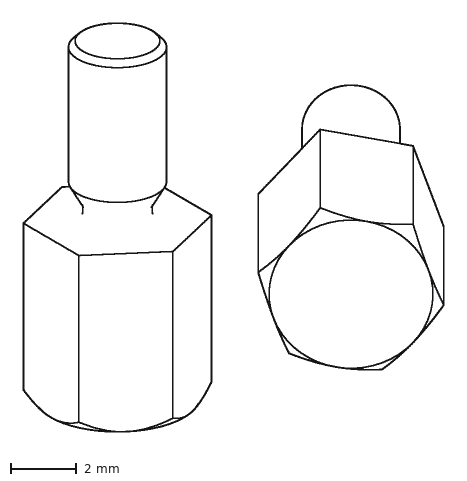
import cadquery as cq
import math

across_flats = 5.0
across_corners = across_flats / math.cos(math.radians(30))
body_height = 6.0
bottom_circle_radius = across_flats / 2

total_height = 12.0
stud_radius = 3.0 / 2
tip_chamfer = 0.2

neck_radius = 2.14 / 2
undercut_height = 1.26
undercut_angle = 30.0
fillet_radius = 0.2


def make_body():
    """Hexagonal prism with its bottom corners turned off at 45 degrees."""
    hexagon = cq.Workplane("XY").polygon(6, across_corners).extrude(body_height)
    corner_radius = across_corners / 2
    corner_cut = corner_radius - bottom_circle_radius
    turned_envelope = (
        cq.Workplane("XZ")
        .moveTo(0, 0)
        .lineTo(bottom_circle_radius, 0)
        .lineTo(corner_radius + corner_cut, 2 * corner_cut)
        .lineTo(corner_radius + corner_cut, body_height)
        .lineTo(0, body_height)
        .close()
        .revolve(360, (0, 0, 0), (0, 1, 0))
    )
    return hexagon.intersect(turned_envelope)


def make_stud():
    """Stud with a chamfered tip and a filleted undercut at its root."""
    taper_top = body_height + undercut_height
    taper_height = (stud_radius - neck_radius) / math.tan(math.radians(undercut_angle))
    taper_bottom = taper_top - taper_height

    tangent_length = fillet_radius * math.tan(math.radians(undercut_angle / 2))
    center_x = neck_radius + fillet_radius
    center_z = taper_bottom - tangent_length

    def upper_fillet_point(degrees):
        angle = math.radians(degrees)
        x = center_x - fillet_radius * math.cos(angle)
        z = center_z + fillet_radius * math.sin(angle)
        return x, z

    root_z = body_height + fillet_radius
    root_mid = (
        center_x - fillet_radius * math.cos(math.radians(45)),
        root_z - fillet_radius * math.sin(math.radians(45)),
    )

    return (
        cq.Workplane("XZ")
        .moveTo(0, body_height)
        .lineTo(center_x, body_height)
        .threePointArc(root_mid, (neck_radius, root_z))
        .lineTo(neck_radius, center_z)
        .threePointArc(upper_fillet_point(undercut_angle / 2), upper_fillet_point(undercut_angle))
        .lineTo(stud_radius, taper_top)
        .lineTo(stud_radius, total_height - tip_chamfer)
        .lineTo(stud_radius - tip_chamfer, total_height)
        .lineTo(0, total_height)
        .close()
        .revolve(360, (0, 0, 0), (0, 1, 0))
    )


result = make_body().union(make_stud())